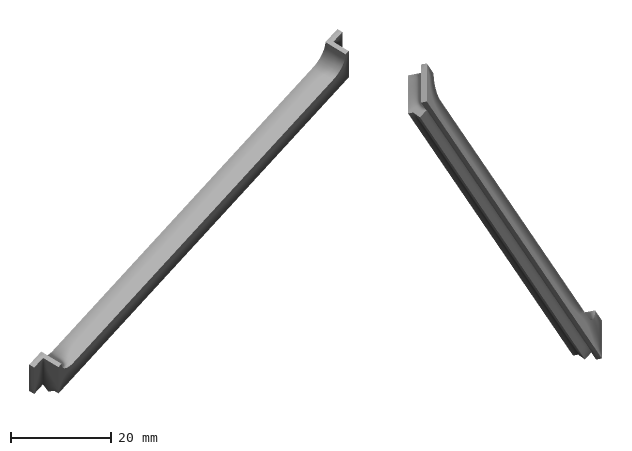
import cadquery as cq

length = 103.0
width = 5.0
height = 10.4
ridge_height = 1.4
ridge_half_width = ridge_height
tab_length = 3.0
tab_thickness = 1.2
end_land = 4.0
scoop_radius = 4.0

body_height = height - ridge_height
floor_height = body_height - scoop_radius
half_length = length / 2
land_edge = half_length - end_land
floor_edge = land_edge - scoop_radius
core_length = length - 2 * tab_length
scoop_mid_y = land_edge - scoop_radius * (1 - 0.5 ** 0.5)
scoop_mid_z = body_height - scoop_radius * 0.5 ** 0.5


def make_bar():
    """Bar with raised ends that sweep down to a lower floor; underside at Z = 0."""
    return (
        cq.Workplane("YZ")
        .moveTo(-half_length, 0)
        .lineTo(half_length, 0)
        .lineTo(half_length, body_height)
        .lineTo(land_edge, body_height)
        .threePointArc((scoop_mid_y, scoop_mid_z), (floor_edge, floor_height))
        .lineTo(-floor_edge, floor_height)
        .threePointArc((-scoop_mid_y, scoop_mid_z), (-land_edge, body_height))
        .lineTo(-half_length, body_height)
        .close()
        .extrude(width / 2, both=True)
    )


def make_tab_relief(end):
    """Block that leaves only the thin -X tab at one end (end is -1 or 1)."""
    return (
        cq.Workplane("XY")
        .box(width - tab_thickness, tab_length, body_height, centered=(True, True, False))
        .translate((tab_thickness / 2, end * (half_length - tab_length / 2), 0))
    )


def make_ridge():
    """V-shaped ridge under the bar, running between the tabs."""
    return (
        cq.Workplane("XZ")
        .polyline([(-ridge_half_width, 0), (ridge_half_width, 0), (0, -ridge_height)])
        .close()
        .extrude(core_length / 2, both=True)
    )


result = make_bar()
for end in (-1, 1):
    result = result.cut(make_tab_relief(end))
result = result.union(make_ridge())